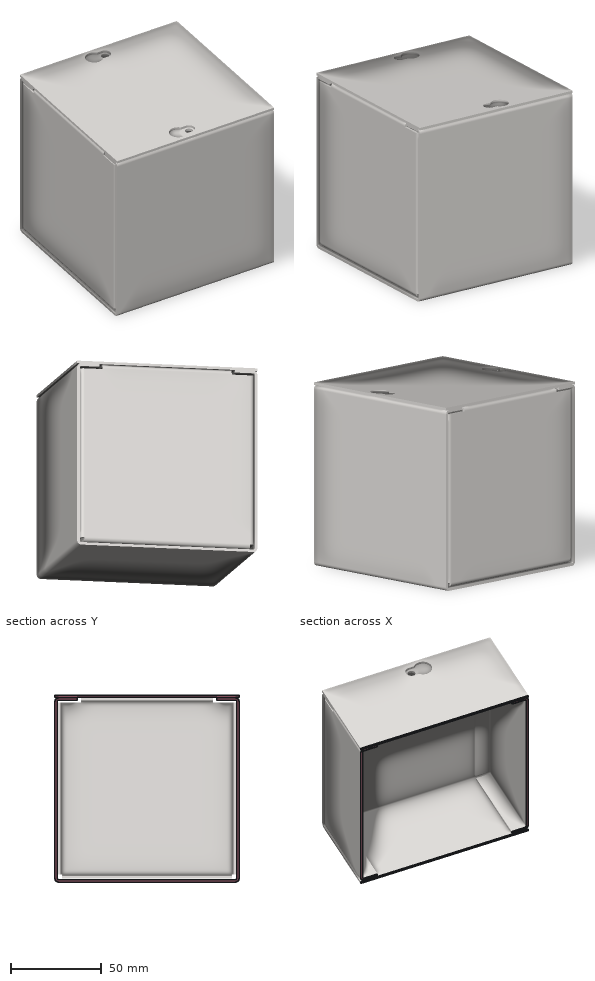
import cadquery as cq

WIDTH = 101.6
DEPTH = WIDTH
HEIGHT = 103.0

SHEET = HEIGHT - WIDTH
INNER_BEND = 0.8
OUTER_BEND = INNER_BEND + SHEET

LIP_EDGE_X = 38.3
SCREW_HOLE_DIAMETER = 4.3

PAN_FLANGE_DEPTH = 10.3
PAN_SIDE_GAP = 0.3
PAN_BOTTOM_GAP = 0.5
TAB_HALF_WIDTH = 36.4
TAB_ROOT_HEIGHT = 0.4

FIXING_X = 43.9
KEYHOLE_HEAD_DIAMETER = 10.1
KEYHOLE_SLOT_WIDTH = 6.6
KEYHOLE_DROP = 7.0

PLATE_BOTTOM_Z = HEIGHT / 2 - SHEET
BOTTOM_Z = -HEIGHT / 2
FLOOR_Z = BOTTOM_Z + SHEET
FRONT_Y = -DEPTH / 2
WRAPPER_HEIGHT = PLATE_BOTTOM_Z - BOTTOM_Z
WRAPPER_CENTER_Z = (PLATE_BOTTOM_Z + BOTTOM_Z) / 2
FIXING_POINTS = [(-FIXING_X, 0), (FIXING_X, 0)]


def rounded_block(width, height, bend_radius):
    """Block along the full depth, at the wrapper's centre, with its four long edges rounded."""
    return (
        cq.Workplane("XY")
        .box(width, DEPTH, height)
        .edges("|Y")
        .fillet(bend_radius)
        .translate((0, 0, WRAPPER_CENTER_Z))
    )


def make_wrapper():
    outside = rounded_block(WIDTH, WRAPPER_HEIGHT, OUTER_BEND)
    inside = rounded_block(WIDTH - 2 * SHEET, WRAPPER_HEIGHT - 2 * SHEET, INNER_BEND)
    top_opening = (
        cq.Workplane("XY", origin=(0, 0, PLATE_BOTTOM_Z))
        .rect(2 * LIP_EDGE_X, DEPTH)
        .extrude(-SHEET)
    )
    screw_holes = (
        cq.Workplane("XY", origin=(0, 0, PLATE_BOTTOM_Z))
        .pushPoints(FIXING_POINTS)
        .circle(SCREW_HOLE_DIAMETER / 2)
        .extrude(-SHEET)
    )
    return outside.cut(inside).cut(top_opening).cut(screw_holes)


def keyhole(x, y):
    """Keyhole through the plate: narrow end centred on (x, y), round head towards -Y."""
    head = (
        cq.Workplane("XY", origin=(x, y - KEYHOLE_DROP, PLATE_BOTTOM_Z))
        .circle(KEYHOLE_HEAD_DIAMETER / 2)
        .extrude(SHEET)
    )
    slot = (
        cq.Workplane("XY", origin=(x, y - KEYHOLE_DROP / 2, PLATE_BOTTOM_Z))
        .slot2D(KEYHOLE_DROP + KEYHOLE_SLOT_WIDTH, KEYHOLE_SLOT_WIDTH, 90)
        .extrude(SHEET)
    )
    return head.union(slot)


def make_mounting_plate():
    plate = (
        cq.Workplane("XY", origin=(0, 0, PLATE_BOTTOM_Z))
        .rect(WIDTH, DEPTH)
        .extrude(SHEET)
    )
    for x, y in FIXING_POINTS:
        plate = plate.cut(keyhole(x, y))
    return plate


def pan_flange(length):
    """Bend and flange running along Z; the bend starts at the origin and turns from +X to +Y."""
    return (
        cq.Workplane("XY")
        .radiusArc((OUTER_BEND, OUTER_BEND), -OUTER_BEND)
        .lineTo(OUTER_BEND, PAN_FLANGE_DEPTH)
        .lineTo(INNER_BEND, PAN_FLANGE_DEPTH)
        .lineTo(INNER_BEND, OUTER_BEND)
        .radiusArc((0, SHEET), INNER_BEND)
        .close()
        .extrude(length / 2, both=True)
    )


def pan_panel(width, bottom_z, top_z):
    """Flat piece of the front pan, its outer side flush with the wrapper's front edge."""
    return (
        cq.Workplane("XZ", origin=(0, FRONT_Y, (bottom_z + top_z) / 2))
        .rect(width, top_z - bottom_z)
        .extrude(-SHEET)
    )


def make_front_pan():
    half_width = WIDTH / 2 - SHEET - PAN_SIDE_GAP - OUTER_BEND
    bottom_z = FLOOR_Z + PAN_BOTTOM_GAP + OUTER_BEND
    tab_z = PLATE_BOTTOM_Z - OUTER_BEND
    corner_z = tab_z - TAB_ROOT_HEIGHT

    face = pan_panel(2 * half_width, bottom_z, corner_z)
    tab_root = pan_panel(2 * TAB_HALF_WIDTH, corner_z, tab_z)

    side_center = (half_width, FRONT_Y, (bottom_z + corner_z) / 2)
    right_flange = pan_flange(corner_z - bottom_z).translate(side_center)
    left_flange = right_flange.mirror("YZ")

    y_axis = ((0, 0, 0), (0, 1, 0))
    top_tab = (
        pan_flange(2 * TAB_HALF_WIDTH)
        .rotate(*y_axis, -90)
        .translate((0, FRONT_Y, tab_z))
    )
    bottom_flange = (
        pan_flange(2 * half_width)
        .rotate(*y_axis, 90)
        .translate((0, FRONT_Y, bottom_z))
    )

    pan = face.union(tab_root)
    for flange in (right_flange, left_flange, top_tab, bottom_flange):
        pan = pan.union(flange)
    return pan


wrapper = make_wrapper()
mounting_plate = make_mounting_plate()

front_pan = make_front_pan()
pans = []
for turn in (0, 180):
    pans.append(front_pan.rotate((0, 0, 0), (0, 0, 1), turn))

result = cq.Compound.makeCompound(
    [body.solids().val() for body in (wrapper, mounting_plate, *pans)]
)